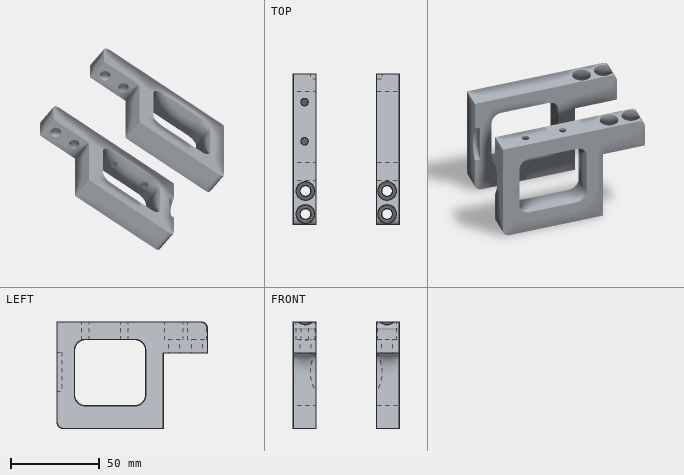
import cadquery as cq

overall_width = 60.0
arm_thickness = 13.0
inner_face_x = overall_width / 2 - arm_thickness
arm_center_x = inner_face_x + arm_thickness / 2

overall_length = 85.0
overall_height = 60.22
lug_length = 25.0
lug_height = 17.6
lug_bottom_z = overall_height - lug_height
corner_radius = 4.0

window_wall = 10.0
window_floor = 13.0
window_length = overall_length - lug_length - 2 * window_wall
window_height = overall_height - window_wall - window_floor
window_center_y = overall_length - window_wall - window_length / 2
window_center_z = window_floor + window_height / 2
window_radius = 6.0

screw_hole_diameter = 6.0
counterbore_diameter = 10.5
counterbore_depth = 10.0
screw_hole_x = 23.0
first_screw_y = 6.0
screw_spacing = 13.0

small_hole_diameter = 4.2
small_hole_spacing = 22.1
rear_small_hole_y = overall_length - 15.9

seat_diameter = 40.5
seat_depth = 3.0
seat_center_z = 32.0


def arm_blank():
    """Windowed arm on the +X side, without holes or seat."""
    outline = (
        cq.Workplane("YZ", origin=(inner_face_x, 0, 0))
        .moveTo(lug_length, 0)
        .lineTo(overall_length, 0)
        .lineTo(overall_length, overall_height)
        .lineTo(0, overall_height)
        .lineTo(0, lug_bottom_z)
        .lineTo(lug_length, lug_bottom_z)
        .close()
        .extrude(arm_thickness)
    )
    rounded = outline.edges("|X").edges("(>Z and <Y) or (<Z and >Y)").fillet(corner_radius)
    window = (
        cq.Workplane("YZ", origin=(inner_face_x, window_center_y, window_center_z))
        .rect(window_length, window_height)
        .extrude(arm_thickness)
        .edges("|X")
        .fillet(window_radius)
    )
    return rounded.cut(window)


def cut_screw_holes(arm):
    """Two counterbored holes along the lug."""
    return (
        arm.copyWorkplane(cq.Workplane("XY", origin=(0, 0, overall_height)))
        .pushPoints([(screw_hole_x, first_screw_y + i * screw_spacing) for i in range(2)])
        .cboreHole(screw_hole_diameter, counterbore_diameter, counterbore_depth, depth=lug_height)
    )


def cut_seat(arm):
    """Shallow arc-shaped step in the rear of the inner side."""
    disc = (
        cq.Workplane("XZ", origin=(0, overall_length, seat_center_z))
        .circle(seat_diameter / 2)
        .extrude(seat_depth)
    )
    return arm.cut(disc)


def cut_small_holes(arm):
    """Two plain holes from the top face into the window."""
    return (
        arm.copyWorkplane(cq.Workplane("XY", origin=(0, 0, overall_height)))
        .pushPoints([(-arm_center_x, rear_small_hole_y - i * small_hole_spacing) for i in range(2)])
        .hole(small_hole_diameter, depth=overall_height - window_center_z)
    )


right_arm = cut_seat(cut_screw_holes(arm_blank()))
left_arm = cut_small_holes(right_arm.mirror("YZ"))

result = cq.Compound.makeCompound([left_arm.val(), right_arm.val()])